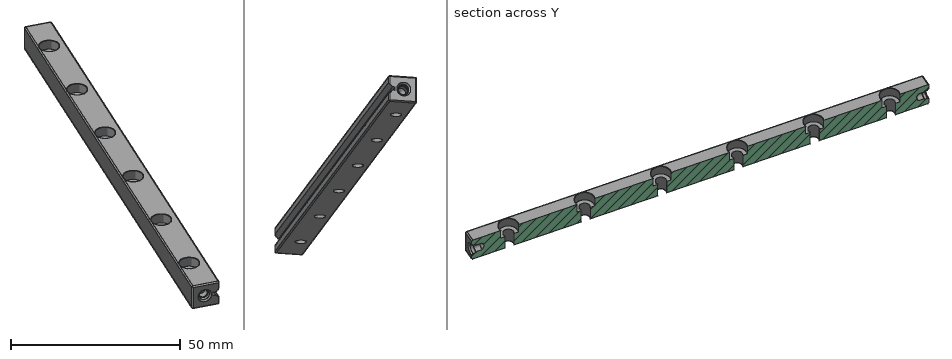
import cadquery as cq
import math

LENGTH = 150.0
WIDTH = 8.6
HEIGHT = 8.0
EDGE_CHAMFER = 0.4

GROOVE_OPENING = 3.4
RELIEF_WIDTH = 1.0
RELIEF_DEPTH = 2.0

HOLE_COUNT = 6
HOLE_PITCH = 25.0
FIRST_HOLE_X = 12.5
HOLE_FROM_BACK = 3.5
HOLE_DIAMETER = 3.3
COUNTERBORE_DIAMETER = 6.0
COUNTERBORE_CHAMFER = 0.1
COUNTERBORE_DEPTH = 3.1
CHAMFER_ANGLE = 45.0

END_HOLE_FROM_BACK = 4.0
END_MOUTH_DIAMETER = 4.2
THREAD_DIAMETER = 3.2
THREAD_DEPTH = 1.5
CORE_DIAMETER = 2.6
CORE_DEPTH = 3.5
DRILL_TIP_ANGLE = 118.0


def rail_body():
    """Bar with its back on y = 0, its base on z = 0 and chamfered edges."""
    bar = cq.Workplane("XY").box(LENGTH, WIDTH, HEIGHT, centered=False)
    bar = bar.faces("<X or >X").chamfer(EDGE_CHAMFER)
    return bar.edges("|X").chamfer(EDGE_CHAMFER)


def roller_groove():
    """Full-length vee on the +Y side, opening at mid-height, with its relief slot."""
    half_opening = GROOVE_OPENING / 2
    half_relief = RELIEF_WIDTH / 2
    vee_depth = half_opening - half_relief
    mid_height = HEIGHT / 2
    return (
        cq.Workplane("YZ")
        .moveTo(WIDTH, mid_height + half_opening)
        .lineTo(WIDTH - vee_depth, mid_height + half_relief)
        .lineTo(WIDTH - RELIEF_DEPTH, mid_height + half_relief)
        .lineTo(WIDTH - RELIEF_DEPTH, mid_height - half_relief)
        .lineTo(WIDTH - vee_depth, mid_height - half_relief)
        .lineTo(WIDTH, mid_height - half_opening)
        .close()
        .extrude(LENGTH)
    )


def mounting_holes():
    """Row of vertical through holes, counterbored from the top."""
    centres = [(FIRST_HOLE_X + i * HOLE_PITCH, HOLE_FROM_BACK) for i in range(HOLE_COUNT)]
    through = cq.Workplane("XY").pushPoints(centres).circle(HOLE_DIAMETER / 2).extrude(HEIGHT)
    counterbores = (
        cq.Workplane("XY", origin=(0, 0, HEIGHT))
        .pushPoints(centres)
        .circle(COUNTERBORE_DIAMETER / 2)
        .extrude(-COUNTERBORE_DEPTH)
    )
    mouth_radius = COUNTERBORE_DIAMETER / 2 + COUNTERBORE_CHAMFER
    mouths = (
        cq.Workplane("XY", origin=(0, 0, HEIGHT))
        .pushPoints(centres)
        .circle(mouth_radius)
        .extrude(-COUNTERBORE_CHAMFER, taper=CHAMFER_ANGLE)
    )
    return through.union(counterbores).union(mouths)


def end_hole():
    """Blind hole entering the end face at x = 0, revolved about its own axis."""
    mouth_radius = END_MOUTH_DIAMETER / 2
    thread_radius = THREAD_DIAMETER / 2
    core_radius = CORE_DIAMETER / 2
    mouth_depth = mouth_radius - thread_radius
    tip_length = core_radius / math.tan(math.radians(DRILL_TIP_ANGLE / 2))
    return (
        cq.Workplane("XY", origin=(0, END_HOLE_FROM_BACK, HEIGHT / 2))
        .lineTo(0, mouth_radius)
        .lineTo(mouth_depth, thread_radius)
        .lineTo(THREAD_DEPTH, thread_radius)
        .lineTo(THREAD_DEPTH, core_radius)
        .lineTo(CORE_DEPTH, core_radius)
        .lineTo(CORE_DEPTH + tip_length, 0)
        .close()
        .revolve(360, (0, 0, 0), (1, 0, 0))
    )


start_hole = end_hole()
far_hole = start_hole.mirror("YZ", (LENGTH / 2, 0, 0))

result = (
    rail_body()
    .cut(roller_groove())
    .cut(mounting_holes())
    .cut(start_hole)
    .cut(far_hole)
)